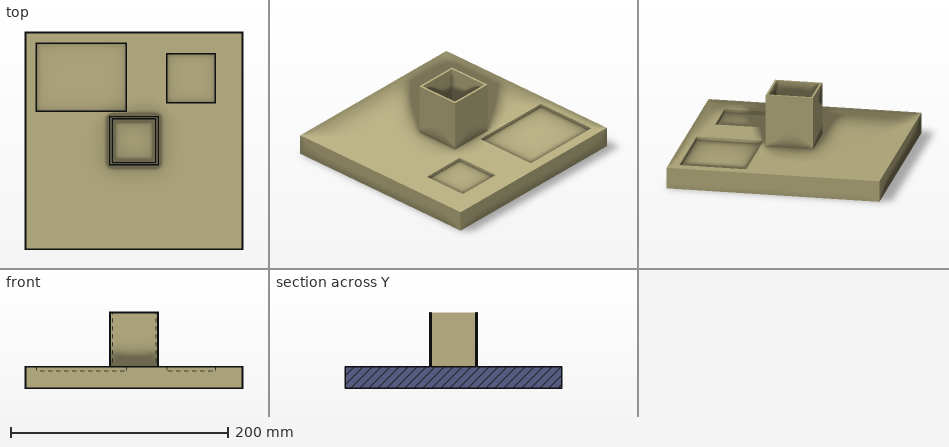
import cadquery as cq

plate_side = 200.0
plate_thickness = 20.0

tower_side = 44.5
tower_height = 50.0
tower_wall = 2.0

pocket_depth = 4.0
edge_margin = 10.0
large_pocket_length = 83.0
large_pocket_width = 63.0
small_pocket_side = 44.8
small_pocket_margin_x = 25.0
small_pocket_margin_y = 20.0

half_side = plate_side / 2


def pocket(length, width, center_x, center_y):
    """Cutter for a rectangular pocket sunk from the plate's top face."""
    return (
        cq.Workplane("XY", origin=(center_x, center_y, plate_thickness))
        .rect(length, width)
        .extrude(-pocket_depth)
    )


plate = cq.Workplane("XY").box(plate_side, plate_side, plate_thickness, centered=(True, True, False))

large_pocket = pocket(
    large_pocket_length,
    large_pocket_width,
    -half_side + edge_margin + large_pocket_length / 2,
    half_side - edge_margin - large_pocket_width / 2,
)
small_pocket = pocket(
    small_pocket_side,
    small_pocket_side,
    half_side - small_pocket_margin_x - small_pocket_side / 2,
    half_side - small_pocket_margin_y - small_pocket_side / 2,
)

bore_side = tower_side - 2 * tower_wall
tower = (
    cq.Workplane("XY", origin=(0, 0, plate_thickness))
    .rect(tower_side, tower_side)
    .rect(bore_side, bore_side)
    .extrude(tower_height)
)

result = plate.cut(large_pocket).cut(small_pocket).union(tower)